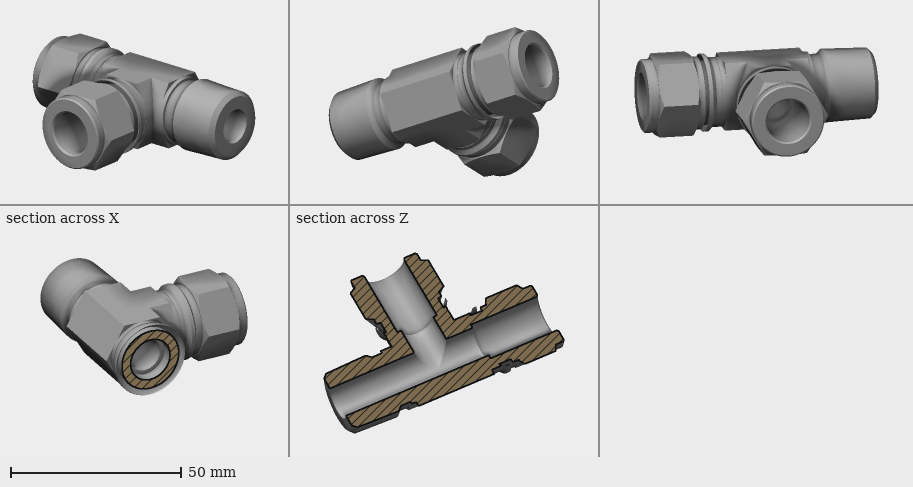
import cadquery as cq
import math


body_flats = 20.6
body_reach = 12.5
bore_diameter = 10.4

arm_length = 36.1
nut_flats = 22.25
nut_start = 21.0
nut_end = 33.1
nut_chamfer_angle = 30
cap_diameter = 21.8
cap_chamfer = 0.4
collar_diameter = 21.5
collar_start = 19.0
collar_chamfer = 0.3
groove_diameter = 18.9
flange_diameter = 23.0
flange_start = 17.1
flange_end = 18.25
rim_thickness = 0.2
hollow_core_diameter = 19.0
hollow_core_end = 18
seam_start = 13.95
seam_width = 0.4
seam_depth = 0.15
socket_diameter = 12.9
socket_depth = 22.1
socket_chamfer = 0.5

overall_length = 69.1
male_length = overall_length - arm_length
shoulder_end = 13.9
relief_diameter = 19.0
relief_end = 17.0
thread_diameter = 21.8
thread_taper = 1 / 16
tip_chamfer = 1.3

neck_radius = body_flats / 2
cos30 = math.cos(math.radians(30))


def revolve(profile):
    """Turn (distance, radius) points about the X axis."""
    points = [(profile[0][0], 0)] + profile + [(profile[-1][0], 0)]
    return cq.Workplane("XY").polyline(points).close().revolve(360, (0, 0, 0), (1, 0, 0))


def hexagon(flats, start, end):
    """Hexagonal bar along X with flats facing +Z and -Z."""
    return cq.Workplane("YZ").workplane(offset=start).polygon(6, flats / cos30).extrude(end - start)


def to_branch(shape):
    """Swing a shape from +X to the branch direction, -Y."""
    return shape.rotate((0, 0, 0), (0, 0, 1), -90)


def to_left(shape):
    """Swing a shape from +X to -X."""
    return shape.rotate((0, 0, 0), (0, 0, 1), 180)


def nut():
    """Hexagon nut with its corners turned down at both ends."""
    face_radius = nut_flats / 2
    corner_radius = face_radius / cos30
    drop = (corner_radius - face_radius) * math.tan(math.radians(nut_chamfer_angle))
    envelope = revolve([
        (nut_start, face_radius),
        (nut_start + drop, corner_radius),
        (nut_end - drop, corner_radius),
        (nut_end, face_radius),
    ])
    return hexagon(nut_flats, nut_start, nut_end).intersect(envelope)


def compression_end():
    """Neck, hollow-backed flange, collar, nut and cap along +X."""
    cap_radius = cap_diameter / 2
    collar_radius = collar_diameter / 2
    groove_radius = groove_diameter / 2
    flange_radius = flange_diameter / 2
    hollow_radius = flange_radius - rim_thickness
    hollow_core_radius = hollow_core_diameter / 2
    turned = revolve([
        (0, neck_radius),
        (seam_start, neck_radius),
        (seam_start, neck_radius - seam_depth),
        (seam_start + seam_width, neck_radius - seam_depth),
        (seam_start + seam_width, neck_radius),
        (flange_start - (flange_radius - neck_radius), neck_radius),
        (flange_start, flange_radius),
        (flange_end, flange_radius),
        (flange_end, hollow_radius),
        (flange_start, hollow_radius),
        (flange_start - (hollow_radius - hollow_core_radius), hollow_core_radius),
        (hollow_core_end, hollow_core_radius),
        (hollow_core_end, groove_radius),
        (collar_start, groove_radius),
        (collar_start, collar_radius - collar_chamfer),
        (collar_start + collar_chamfer, collar_radius),
        (nut_start, collar_radius),
        (nut_start, cap_radius),
        (arm_length - cap_chamfer, cap_radius),
        (arm_length, cap_radius - cap_chamfer),
    ])
    return turned.union(nut())


def male_end():
    """Shoulder, relief and tapered thread body along +X."""
    relief_radius = relief_diameter / 2
    thread_radius = thread_diameter / 2
    thread_start = relief_end + thread_radius - relief_radius
    thread_end = male_length - tip_chamfer
    small_radius = thread_radius - (thread_end - thread_start) * thread_taper / 2
    return revolve([
        (0, neck_radius),
        (shoulder_end, neck_radius),
        (shoulder_end, relief_radius),
        (relief_end, relief_radius),
        (thread_start, thread_radius),
        (thread_end, small_radius),
        (male_length, small_radius - tip_chamfer),
    ])


def body():
    """Hexagonal run and branch; the corners beside the branch give way to the round necks."""
    tangent_reach = neck_radius * cos30
    corner_reach = neck_radius / cos30
    run_width = tangent_reach + corner_reach
    run_limit = cq.Workplane("XY").box(2 * body_reach, run_width, body_flats)
    run_limit = run_limit.translate((0, corner_reach - run_width / 2, 0))
    run = hexagon(body_flats, -body_reach, body_reach).intersect(run_limit)
    branch_limit = cq.Workplane("XY").box(2 * body_reach, 2 * tangent_reach, body_flats)
    branch = to_branch(hexagon(body_flats, 0, body_reach).intersect(branch_limit))
    return run.union(branch)


def socket():
    """Tube socket with a chamfered mouth, opening at the end of an arm along +X."""
    radius = socket_diameter / 2
    return revolve([
        (arm_length - socket_depth, radius),
        (arm_length - socket_chamfer, radius),
        (arm_length, radius + socket_chamfer),
    ])


bore_radius = bore_diameter / 2
run_bore = revolve([(-arm_length, bore_radius), (male_length, bore_radius)])
branch_bore = to_branch(revolve([(0, bore_radius), (arm_length, bore_radius)]))

result = body().union(male_end())
for place in (to_left, to_branch):
    result = result.union(place(compression_end()))
for place in (to_left, to_branch):
    result = result.cut(place(socket()))
result = result.cut(run_bore).cut(branch_bore)